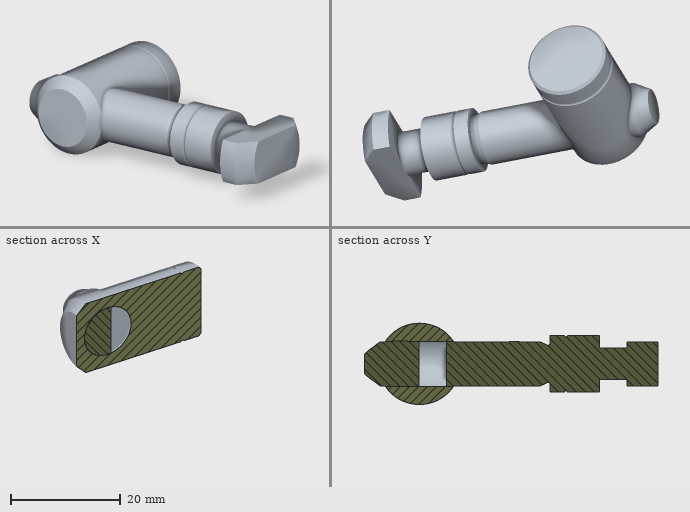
import cadquery as cq

LENGTH = 54.0
BARREL_X = 10.15
BARREL_FRONT_Y = -6.75

BARREL_RADIUS = 7.5
BARREL_LENGTH = 26.8
FRONT_CHAMFER = 2.0
BACK_CHAMFER = 0.5
BARREL_GROOVE_OFFSET = 4.05

GROOVE_WIDTH = 0.65
GROOVE_DEPTH = 0.3

SHANK_RADIUS = 4.95
TIP_RADIUS = 3.3
TIP_LENGTH = 3.0
SHANK_END_X = 32.25
NECK_RADIUS = 4.45
NECK_RIM_RADIUS = 4.55
NECK_X = 33.4

COLLAR_RADIUS = 5.95
COLLAR_X = 34.0
COLLAR_END_X = 43.2
COLLAR_GROOVE_X = 37.05
STEM_RADIUS = 4.05

HEAD_X = 48.15
HEAD_RADIUS = 9.7
HEAD_CHAMFER = 2.7
HEAD_HEIGHT = 8.15

NOTCH_END_X = 20.05
NOTCH_DEPTH = 4.3


def ring_cutter(outer_radius):
    """V-section ring centred on the origin with its axis along Z, for cutting a groove."""
    section = [
        (outer_radius, -GROOVE_WIDTH / 2),
        (outer_radius - GROOVE_DEPTH, 0),
        (outer_radius, GROOVE_WIDTH / 2),
    ]
    return cq.Workplane("XZ").polyline(section).close().revolve(360, (0, 0), (0, 1))


def make_barrel():
    """Chamfered cylinder with a ring groove and a cross hole for the shank."""
    body = cq.Workplane("XY").circle(BARREL_RADIUS).extrude(BARREL_LENGTH)
    body = body.faces("<Z").chamfer(FRONT_CHAMFER)
    body = body.faces(">Z").chamfer(BACK_CHAMFER)
    groove = ring_cutter(BARREL_RADIUS).translate((0, 0, BARREL_LENGTH - BARREL_GROOVE_OFFSET))
    body = body.cut(groove)
    body = body.rotate((0, 0, 0), (1, 0, 0), -90).translate((BARREL_X, BARREL_FRONT_Y, 0))
    cross_hole = anchor_blank()
    return body.cut(cross_hole)


def anchor_blank():
    """Turned shape of the anchor, from the conical tip to the conical head rim."""
    tip_and_shank = [
        (0, TIP_RADIUS),
        (TIP_LENGTH, SHANK_RADIUS),
        (SHANK_END_X, SHANK_RADIUS),
        (NECK_X, NECK_RIM_RADIUS),
    ]
    neck_bottom = ((NECK_X + COLLAR_X) / 2, NECK_RADIUS)
    neck_end = (COLLAR_X, NECK_RIM_RADIUS)
    collar_to_head = [
        (COLLAR_X, COLLAR_RADIUS),
        (COLLAR_END_X, COLLAR_RADIUS),
        (COLLAR_END_X, STEM_RADIUS),
        (HEAD_X, STEM_RADIUS),
        (HEAD_X, HEAD_RADIUS),
        (LENGTH - HEAD_CHAMFER, HEAD_RADIUS),
        (LENGTH, HEAD_RADIUS - HEAD_CHAMFER),
        (LENGTH, 0),
    ]
    profile = (
        cq.Workplane("XY")
        .polyline([(0, 0), *tip_and_shank])
        .threePointArc(neck_bottom, neck_end)
        .polyline(collar_to_head, includeCurrent=True)
        .close()
    )
    return profile.revolve(360, (0, 0), (1, 0))


def head_trim():
    """Two blocks that trim the head to its flat top and bottom."""
    around = cq.Workplane("YZ", origin=(HEAD_X, 0, 0))
    disc = around.circle(2 * HEAD_RADIUS).extrude(LENGTH - HEAD_X)
    slab = around.rect(4 * HEAD_RADIUS, HEAD_HEIGHT).extrude(LENGTH - HEAD_X)
    return disc.cut(slab)


def clamp_notch():
    """Wedge that rises from the barrel axis to the surface of the shank."""
    wedge = [
        (BARREL_X, SHANK_RADIUS),
        (BARREL_X, SHANK_RADIUS - NOTCH_DEPTH),
        (NOTCH_END_X, SHANK_RADIUS),
    ]
    return cq.Workplane("XY").polyline(wedge).close().extrude(SHANK_RADIUS, both=True)


def make_anchor():
    """Anchor with its flat head, collar groove and clamp notch."""
    groove = ring_cutter(COLLAR_RADIUS).rotate((0, 0, 0), (0, 1, 0), 90)
    groove = groove.translate((COLLAR_GROOVE_X, 0, 0))
    return anchor_blank().cut(head_trim()).cut(groove).cut(clamp_notch())


barrel = make_barrel()
anchor = make_anchor()

result = cq.Compound.makeCompound([barrel.val(), anchor.val()])